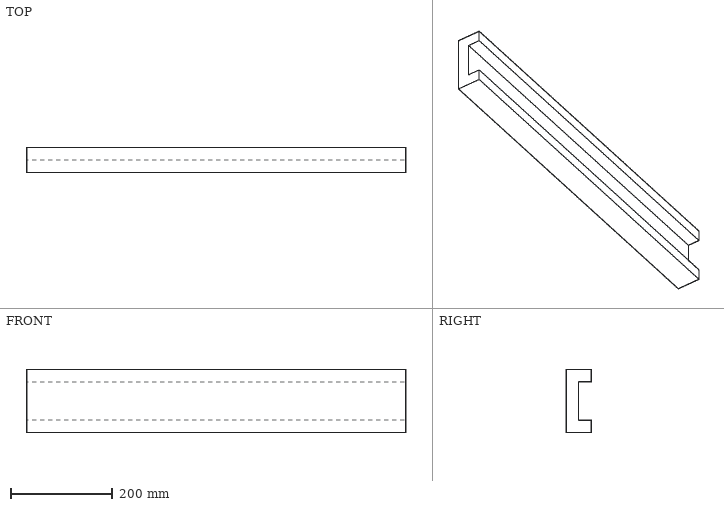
import cadquery as cq

length = 750.0
depth = 50.0
height = 125.0

flange_thickness = 25.0
web_thickness = 25.0

groove_depth = depth - web_thickness
groove_height = height - 2 * flange_thickness


def make_bar():
    """Solid rectangular bar centred on the origin."""
    return cq.Workplane("XY").box(length, depth, height)


def make_groove():
    """Full-length groove, open on the +Y face."""
    groove_center_y = (depth - groove_depth) / 2
    groove = cq.Workplane("XY").box(length, groove_depth, groove_height)
    return groove.translate((0, groove_center_y, 0))


result = make_bar().cut(make_groove())